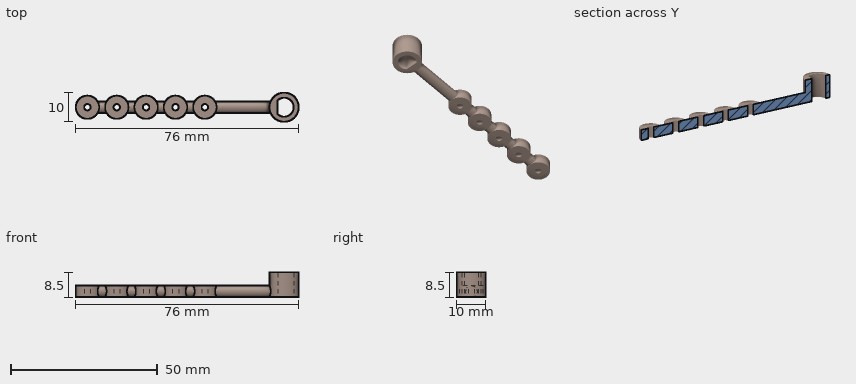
import cadquery as cq

hub_diameter = 10.0
hub_height = 8.5
bore_diameter = 6.4
bore_flat_offset = 2.2

disc_count = 5
disc_diameter = 8.0
disc_pitch = 10.0
disc_hole_diameter = 2.11
end_disc_distance = 67.0

rod_diameter = 4.0
arm_thickness = rod_diameter

disc_centers = [(-end_disc_distance + i * disc_pitch, 0) for i in range(disc_count)]


def make_rod():
    """Round rod along X, from the outermost disc axis to the hub axis."""
    return (
        cq.Workplane("YZ", origin=(-end_disc_distance, 0, arm_thickness / 2))
        .circle(rod_diameter / 2)
        .extrude(end_disc_distance)
    )


def make_cylinders(centers, diameter, height):
    """Upright cylinders standing on the base plane."""
    return cq.Workplane("XY").pushPoints(centers).circle(diameter / 2).extrude(height)


def make_d_bore():
    """Through bore of the hub, with a flat facing the arm."""
    flat_limit = (
        cq.Workplane("XY")
        .box(bore_diameter, bore_diameter, hub_height, centered=(False, True, False))
        .translate((-bore_flat_offset, 0, 0))
    )
    return make_cylinders([(0, 0)], bore_diameter, hub_height).intersect(flat_limit)


arm = make_rod().union(make_cylinders(disc_centers, disc_diameter, arm_thickness))
hub = make_cylinders([(0, 0)], hub_diameter, hub_height)
disc_holes = make_cylinders(disc_centers, disc_hole_diameter, arm_thickness)

result = arm.union(hub).cut(disc_holes).cut(make_d_bore())